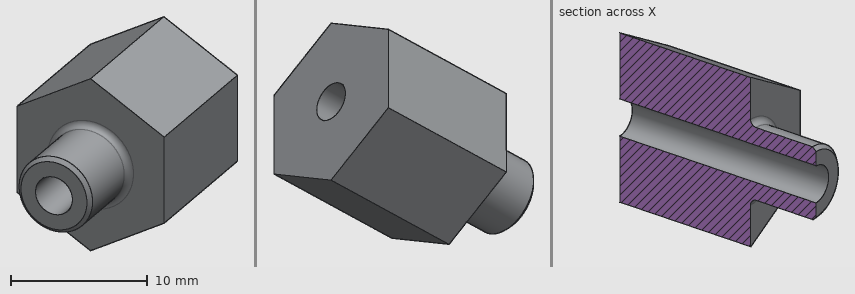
import cadquery as cq
import math

total_length = 18.0
across_flats = 12.0
hex_length = 12.0
stud_diameter = 6.0
bore_diameter = 3.0
root_fillet = 0.5
tip_chamfer = 0.3

stud_length = total_length - hex_length
across_corners = across_flats / math.cos(math.radians(30))


def hex_body():
    """Hexagonal prism along +Y from the shoulder at Y = 0, with corners at top and bottom."""
    return (
        cq.Workplane("XZ")
        .transformed(rotate=(0, 0, 90))
        .polygon(6, across_corners)
        .extrude(-hex_length)
    )


def stud():
    """Round stud along -Y from the shoulder, chamfered at its free end."""
    return (
        cq.Workplane("XZ")
        .circle(stud_diameter / 2)
        .extrude(stud_length)
        .faces("<Y")
        .chamfer(tip_chamfer)
    )


def fillet_root(body):
    """Round the inside corner where the stud meets the shoulder."""
    corner = cq.selectors.RadiusNthSelector(-1)
    return body.edges("%CIRCLE").edges(corner).edges(">Y").fillet(root_fillet)


def bore():
    """Straight hole through the full length."""
    return (
        cq.Workplane("XZ", origin=(0, hex_length, 0))
        .circle(bore_diameter / 2)
        .extrude(total_length)
    )


result = fillet_root(hex_body().union(stud())).cut(bore())